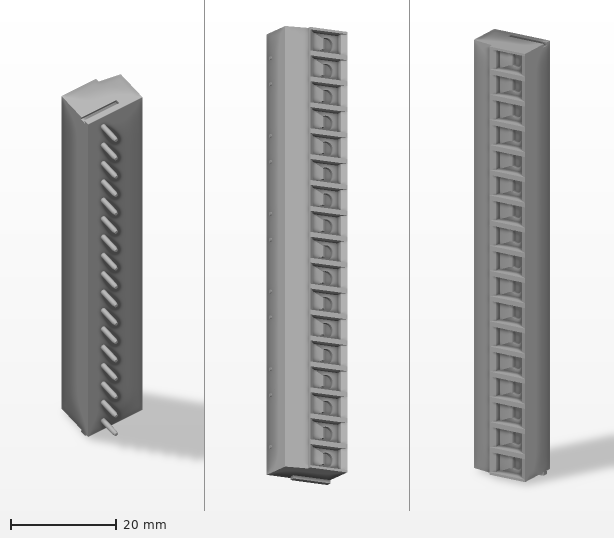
import cadquery as cq


poles = 17
overall_height = 87.05
tongue_depth = 0.7
body_height = overall_height - tongue_depth
pitch = body_height / poles
body_depth = 9.0
body_width = 12.5
shoulder_y = 8.0
shoulder_x = 0.9
crest_x = 1.65

wall = 1.0
cell_height = pitch - wall
cell_floor_x = 2.1
lip_x = 0.6
lip_y = 1.05
roof_x = 0.9
roof_y = 7.05

axis_y = 3.4
hole_radius = 1.4
hole_depth = 0.7

clamp_top_x = 1.6
clamp_nose_x = 1.8
clamp_back_y = 6.6
clamp_front_y = 4.4
clamp_nose_y = 3.9
clamp_tip_height = 2.1

pin_radius = 0.5
pin_length = 4.5
pin_embed = 0.9
tip_length = 0.6
tip_inset = 0.2

dovetail_x = 7.2
neck_width = 1.0
dovetail_width = 1.4

stud_radius = 0.35
stud_height = 0.3
stud_cycle = 3


def make_body():
    """Stepped housing profile, extruded over all poles."""
    outline = [
        (0, 0),
        (body_depth, 0),
        (body_depth, body_width),
        (crest_x, body_width),
        (shoulder_x, shoulder_y),
        (0, shoulder_y),
    ]
    return cq.Workplane("XY").polyline(outline).close().extrude(body_height)


def make_cell(z):
    """Cavity of one pole: entry recess and wire hole, leaving the clamp standing."""
    recess_outline = [
        (0, 0),
        (lip_x, lip_y),
        (cell_floor_x, lip_y),
        (cell_floor_x, roof_y),
        (roof_x, roof_y),
        (0, shoulder_y),
    ]
    base = cq.Workplane("XY", origin=(0, 0, z))
    recess = base.polyline(recess_outline).close().extrude(cell_height / 2, both=True)
    hole = (
        cq.Workplane("YZ", origin=(cell_floor_x, axis_y, z))
        .circle(hole_radius)
        .extrude(hole_depth)
    )
    return recess.union(hole).cut(make_clamp(z))


def make_clamp(z):
    """Clamp with sloped ends, narrowing towards the wire hole and rooted at its floor."""
    root_x = cell_floor_x + hole_depth
    side_outline = [
        (cell_floor_x, roof_y),
        (clamp_top_x, clamp_back_y),
        (clamp_top_x, clamp_front_y),
        (clamp_nose_x, clamp_nose_y),
        (root_x, clamp_nose_y),
        (root_x, roof_y),
    ]
    half_cell = cell_height / 2
    half_tip = clamp_tip_height / 2
    face_outline = [
        (roof_y, -half_cell),
        (clamp_back_y, -half_cell),
        (clamp_front_y, -half_tip),
        (clamp_nose_y, -half_tip),
        (clamp_nose_y, half_tip),
        (clamp_front_y, half_tip),
        (clamp_back_y, half_cell),
        (roof_y, half_cell),
    ]
    bar = (
        cq.Workplane("XY", origin=(0, 0, z))
        .polyline(side_outline)
        .close()
        .extrude(half_cell, both=True)
    )
    trapezoid = (
        cq.Workplane("YZ", origin=(0, 0, z))
        .polyline(face_outline)
        .close()
        .extrude(root_x)
    )
    return bar.intersect(trapezoid)


def make_pin(z):
    """Round solder pin with a tapered tip, rooted inside the housing."""
    return (
        cq.Workplane("YZ", origin=(body_depth - pin_embed, axis_y, z))
        .circle(pin_radius)
        .extrude(pin_embed + pin_length)
        .faces(">X")
        .chamfer(tip_length, tip_inset)
    )


def make_dovetail(top_z):
    """Dovetail bar with its narrow neck at top_z, widening downwards."""
    half_neck = neck_width / 2
    half_base = dovetail_width / 2
    outline = [
        (dovetail_x - half_neck, top_z),
        (dovetail_x + half_neck, top_z),
        (dovetail_x + half_base, top_z - tongue_depth),
        (dovetail_x - half_base, top_z - tongue_depth),
    ]
    return cq.Workplane("XZ").polyline(outline).close().extrude(-shoulder_y)


def make_stud(z):
    """Small stud standing on the +Y face."""
    return (
        cq.Workplane("XZ", origin=(dovetail_x, body_width, z))
        .circle(stud_radius)
        .extrude(-stud_height)
    )


result = make_body()

for pole in range(poles):
    pole_z = (pole + 0.5) * pitch
    result = result.cut(make_cell(pole_z)).union(make_pin(pole_z))

for boundary in range(1, poles):
    if boundary % stud_cycle != 0:
        result = result.union(make_stud(body_height - boundary * pitch))

result = result.cut(make_dovetail(body_height)).union(make_dovetail(0))